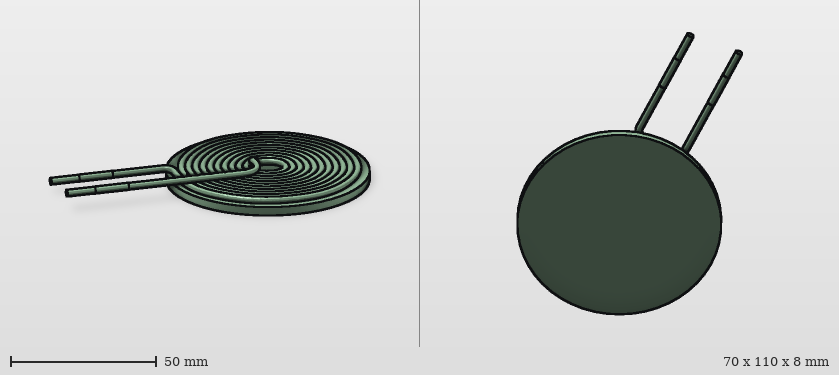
import cadquery as cq
import math

PLATE_DIAMETER = 70.0
TOTAL_LENGTH = 110.0
TOTAL_HEIGHT = 8.0

WIRE_RADIUS = 2.4 / 2
SLEEVE_RADIUS = 2.5 / 2
SLEEVE_LENGTH = 12.0
BARE_TIP_LENGTH = 10.0

COIL_INNER_RADIUS = 5.5
COIL_OUTER_RADIUS = 31.9
COIL_QUARTERS = 43

LEAD_X = 9.2
OUTER_BEND_RADIUS = 3.3
INNER_BEND_END_Y = -12.9
RAMP_TOP_Y = -4.7

UPPER_Z = TOTAL_HEIGHT - SLEEVE_RADIUS
LOWER_Z = UPPER_Z - 2 * WIRE_RADIUS
PLATE_THICKNESS = LOWER_Z - WIRE_RADIUS
LEAD_END_Y = PLATE_DIAMETER / 2 - TOTAL_LENGTH
SLEEVE_END_Y = LEAD_END_Y + BARE_TIP_LENGTH

MINUS_X = cq.Vector(-1, 0, 0)
PLUS_Y = cq.Vector(0, 1, 0)


def make_plate():
    return cq.Workplane("XY").circle(PLATE_DIAMETER / 2).extrude(PLATE_THICKNESS)


def spiral_point(quarter):
    """Point of the spiral after a number of quarter turns, with the direction of travel."""
    growth = (COIL_OUTER_RADIUS - COIL_INNER_RADIUS) / COIL_QUARTERS
    radius = COIL_INNER_RADIUS + growth * quarter
    angle = math.pi - quarter * math.pi / 2
    point = cq.Vector(radius * math.cos(angle), radius * math.sin(angle), LOWER_Z)
    heading = cq.Vector(math.sin(angle), -math.cos(angle), 0)
    return point, heading


def inner_lead_path():
    """Path from the lead tip, over the coil and down the ramp to the start of the coil."""
    tip = cq.Vector(LEAD_X, LEAD_END_Y, UPPER_Z)
    bend_end = cq.Vector(LEAD_X, INNER_BEND_END_Y, UPPER_Z)
    ramp_top = cq.Vector(0, RAMP_TOP_Y, UPPER_Z)
    coil_start, coil_heading = spiral_point(0)
    return [
        cq.Edge.makeLine(tip, bend_end),
        cq.Edge.makeSpline([bend_end, ramp_top], tangents=[PLUS_Y, MINUS_X]),
        cq.Edge.makeSpline([ramp_top, coil_start], tangents=[MINUS_X, coil_heading]),
    ]


def coil_path():
    """Flat spiral of smoothly joined quarter turns whose radius grows evenly."""
    edges = []
    for quarter in range(COIL_QUARTERS):
        start, start_heading = spiral_point(quarter)
        middle, _ = spiral_point(quarter + 0.5)
        end, end_heading = spiral_point(quarter + 1)
        edges.append(cq.Edge.makeSpline([start, middle, end], tangents=[start_heading, end_heading]))
    return edges


def outer_lead_path():
    """Path from the outer end of the coil, round a quarter bend, to the other lead tip."""
    coil_end, _ = spiral_point(COIL_QUARTERS)
    bend_start = cq.Vector(OUTER_BEND_RADIUS - LEAD_X, coil_end.y, LOWER_Z)
    bend_end = cq.Vector(-LEAD_X, coil_end.y - OUTER_BEND_RADIUS, LOWER_Z)
    tip = cq.Vector(-LEAD_X, LEAD_END_Y, LOWER_Z)
    return [
        cq.Edge.makeLine(coil_end, bend_start),
        cq.Edge.makeTangentArc(bend_start, MINUS_X, bend_end),
        cq.Edge.makeLine(bend_end, tip),
    ]


def make_sleeve(x, z):
    return (
        cq.Workplane("XZ", origin=(x, SLEEVE_END_Y, z))
        .circle(SLEEVE_RADIUS)
        .extrude(-SLEEVE_LENGTH)
    )


def make_wire():
    """One continuous wire from lead tip to lead tip, with a sleeve fused onto each lead."""
    path = cq.Wire.assembleEdges(inner_lead_path() + coil_path() + outer_lead_path())
    section = cq.Workplane("XZ", origin=(LEAD_X, LEAD_END_Y, UPPER_Z)).circle(WIRE_RADIUS)
    wire = section.sweep(cq.Workplane(path))
    for x, z in [(LEAD_X, UPPER_Z), (-LEAD_X, LOWER_Z)]:
        wire = wire.union(make_sleeve(x, z))
    return wire


plate = make_plate()
coil_wire = make_wire()
result = cq.Compound.makeCompound([plate.val(), *coil_wire.vals()])